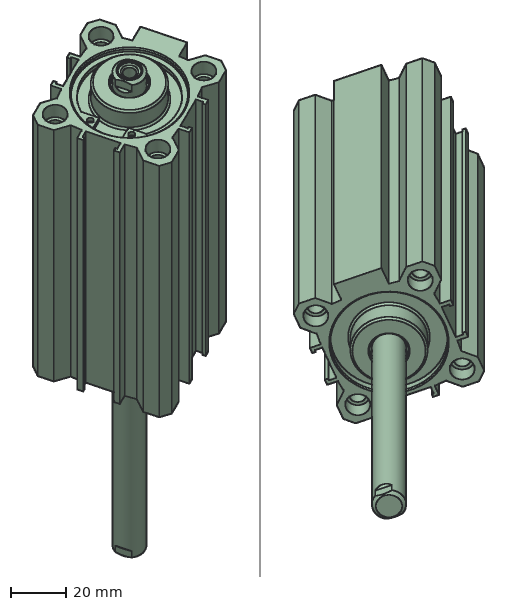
import cadquery as cq
import math

HOUSING_HEIGHT = 139.7
ROD_TOP_REACH = 12.5
ROD_BOTTOM_REACH = 112.5

LUG_REACH = 27.5
LUG_CHAMFER = 3.5
LUG_INNER = 17.7
WALL_HALF = 23.3
WALL_DROP = 0.4
PORT_HALF_WIDTH = 9.3
PORT_REACH = 30.5

RAIL_OUTER = 8.5
RAIL_STEM = 1.5
RAIL_LIP_WIDTH = 2.5
RAIL_LIP_THICKNESS = 1.3

HOLE_OFFSET = 20.4
HOLE_DIAMETER = 6.3
COUNTERBORE_DIAMETER = 9.0
COUNTERBORE_DEPTH = 7.0

BORE_DIAMETER = 40.0
SEAT_DIAMETER = 42.3
SEAT_CHAMFER = 0.5
COLLAR_RECESS = 3.7
COLLAR_FLANGE = 16.0
BOSS_DIAMETER = 28.0
BOSS_REACH = 5.8
BOSS_CHAMFER = 0.8
BOSS_FOOT = 0.8
COLLAR_MOUTH_DIAMETER = 14.0
COLLAR_MOUTH_DEPTH = 2.0
COLLAR_MOUTH_CHAMFER = 0.5

GROOVE_DIAMETER = 44.7
RING_THICKNESS = 1.9
RING_INNER_DIAMETER = 38.0
EAR_INNER = 5.8
EAR_OUTER = 13.2
EAR_TOP = -14.0
EAR_HOLE_X = 8.2
EAR_HOLE_Y = -16.5
EAR_HOLE_DIAMETER = 2.5

ROD_DIAMETER = 12.5
ROD_END_DIAMETER = 9.5
ROD_CHAMFER_HEIGHT = 1.0
FLAT_HALF = 5.3
FLAT_LENGTH = 5.5
ROD_RECESS_DIAMETER = 8.5
ROD_RECESS_DEPTH = 0.8
ROD_HOLE_DIAMETER = 5.0
ROD_HOLE_MOUTH = 6.3
ROD_HOLE_DEPTH = 10.5
DRILL_TIP_ANGLE = 118.0

ROD_TOP = HOUSING_HEIGHT + ROD_TOP_REACH
ROD_BOTTOM = -ROD_BOTTOM_REACH
MID_Z = HOUSING_HEIGHT / 2
COLLAR_FACE = HOUSING_HEIGHT - COLLAR_RECESS
COLLAR_BASE = COLLAR_FACE - COLLAR_FLANGE
CORE_HALF = WALL_HALF - WALL_DROP
LUG_ROOT = LUG_INNER - (LUG_REACH - CORE_HALF)


def cylinder(diameter, z_low, z_high):
    return cq.Workplane("XY").workplane(offset=z_low).circle(diameter / 2).extrude(z_high - z_low)


def box(x_low, x_high, y_low, y_high, z_low, z_high):
    size = (x_high - x_low, y_high - y_low, z_high - z_low)
    return cq.Workplane("XY").box(*size, centered=False).translate((x_low, y_low, z_low))


def revolved(half_section):
    """Solid of revolution about Z from (radius, z) points."""
    return cq.Workplane("XZ").polyline(half_section).close().revolve(360, (0, 0), (0, 1))


def turned(body, angle):
    return body.rotate((0, 0, 0), (0, 0, 1), angle)


def mirrored_end(body):
    """Copy of a body at the upper end, turned over to the lower end of the housing."""
    return body.rotate((0, 0, MID_Z), (1, 0, MID_Z), 180)


def corner_lug():
    outline = [
        (LUG_REACH, LUG_INNER),
        (LUG_REACH, LUG_REACH - LUG_CHAMFER),
        (LUG_REACH - LUG_CHAMFER, LUG_REACH),
        (LUG_INNER, LUG_REACH),
        (LUG_ROOT, CORE_HALF),
        (CORE_HALF, LUG_ROOT),
    ]
    return cq.Workplane("XY").polyline(outline).close().extrude(HOUSING_HEIGHT)


def wall_panel():
    """Thickening of the -Y wall: flat between the rails, sloping down to the valleys."""
    outline = [
        (-LUG_ROOT, -CORE_HALF),
        (-RAIL_OUTER, -WALL_HALF),
        (RAIL_OUTER, -WALL_HALF),
        (LUG_ROOT, -CORE_HALF),
    ]
    return cq.Workplane("XY").polyline(outline).close().extrude(HOUSING_HEIGHT)


def rail_pair():
    """Two hooks on the -Y wall with their lips facing each other."""
    stem_inner = RAIL_OUTER - RAIL_STEM
    lip_inner = RAIL_OUTER - RAIL_LIP_WIDTH
    lip_root = LUG_REACH - RAIL_LIP_THICKNESS
    outline = [
        (RAIL_OUTER, -CORE_HALF),
        (RAIL_OUTER, -LUG_REACH),
        (lip_inner, -LUG_REACH),
        (lip_inner, -lip_root),
        (stem_inner, -lip_root),
        (stem_inner, -CORE_HALF),
    ]
    hook = cq.Workplane("XY").polyline(outline).close().extrude(HOUSING_HEIGHT)
    return hook.union(hook.mirror("YZ"))


def collar_seat():
    """Upper counterbore for the collar, with a chamfered mouth."""
    seat_radius = SEAT_DIAMETER / 2
    return revolved([
        (0, COLLAR_BASE),
        (seat_radius, COLLAR_BASE),
        (seat_radius, HOUSING_HEIGHT - SEAT_CHAMFER),
        (seat_radius + SEAT_CHAMFER, HOUSING_HEIGHT),
        (0, HOUSING_HEIGHT),
    ])


def make_housing():
    body = box(-CORE_HALF, CORE_HALF, -CORE_HALF, CORE_HALF, 0, HOUSING_HEIGHT)
    for angle in (0, 90, 180, 270):
        body = body.union(turned(corner_lug(), angle)).union(turned(wall_panel(), angle))
    body = body.union(box(-PORT_HALF_WIDTH, PORT_HALF_WIDTH, 0, PORT_REACH, 0, HOUSING_HEIGHT))
    for angle in (-90, 0, 90):
        body = body.union(turned(rail_pair(), angle))

    body = body.cut(cylinder(BORE_DIAMETER, 0, HOUSING_HEIGHT))
    seat = collar_seat()
    body = body.cut(seat).cut(mirrored_end(seat))
    body = body.cut(cylinder(GROOVE_DIAMETER, COLLAR_FACE, COLLAR_FACE + RING_THICKNESS))

    corners = [(x, y) for x in (-HOLE_OFFSET, HOLE_OFFSET) for y in (-HOLE_OFFSET, HOLE_OFFSET)]
    counterbore = cylinder(COUNTERBORE_DIAMETER, HOUSING_HEIGHT - COUNTERBORE_DEPTH, HOUSING_HEIGHT)
    drill = cylinder(HOLE_DIAMETER, 0, HOUSING_HEIGHT)
    hole = drill.union(counterbore).union(mirrored_end(counterbore))
    for x, y in corners:
        body = body.cut(hole.translate((x, y, 0)))
    return body


def make_collar():
    """Flanged rod guide at the upper end of the housing."""
    seat_radius = SEAT_DIAMETER / 2
    boss_radius = BOSS_DIAMETER / 2
    rod_radius = ROD_DIAMETER / 2
    mouth_radius = COLLAR_MOUTH_DIAMETER / 2
    boss_top = HOUSING_HEIGHT + BOSS_REACH
    return revolved([
        (rod_radius, COLLAR_BASE),
        (seat_radius, COLLAR_BASE),
        (seat_radius, COLLAR_FACE),
        (boss_radius + BOSS_FOOT, COLLAR_FACE),
        (boss_radius, COLLAR_FACE + BOSS_FOOT),
        (boss_radius, boss_top - BOSS_CHAMFER),
        (boss_radius - BOSS_CHAMFER, boss_top),
        (mouth_radius + COLLAR_MOUTH_CHAMFER, boss_top),
        (mouth_radius, boss_top - COLLAR_MOUTH_CHAMFER),
        (mouth_radius, boss_top - COLLAR_MOUTH_DEPTH),
        (rod_radius, boss_top - COLLAR_MOUTH_DEPTH),
    ])


def make_retaining_ring():
    z_low = COLLAR_FACE
    z_high = COLLAR_FACE + RING_THICKNESS
    disc = cylinder(GROOVE_DIAMETER, z_low, z_high)
    opening = cylinder(RING_INNER_DIAMETER, z_low, z_high)
    ears = box(-EAR_OUTER, EAR_OUTER, -GROOVE_DIAMETER / 2, EAR_TOP, z_low, z_high).intersect(disc)
    gap = box(-EAR_INNER, EAR_INNER, -GROOVE_DIAMETER, EAR_TOP, z_low, z_high)
    boss_clearance = cylinder(BOSS_DIAMETER + 2 * BOSS_FOOT, z_low, z_high)
    body = disc.cut(opening).union(ears).cut(gap).cut(boss_clearance)
    for x in (-EAR_HOLE_X, EAR_HOLE_X):
        body = body.cut(cylinder(EAR_HOLE_DIAMETER, z_low, z_high).translate((x, EAR_HOLE_Y, 0)))
    return body


def flat_cutter():
    """Removes one wrench flat at the lower rod end, up to a sloped shoulder."""
    rod_radius = ROD_DIAMETER / 2
    z_high = ROD_BOTTOM + FLAT_LENGTH
    outline = [
        (FLAT_HALF, ROD_BOTTOM),
        (rod_radius, ROD_BOTTOM),
        (rod_radius, z_high),
        (FLAT_HALF, z_high - (rod_radius - FLAT_HALF)),
    ]
    return cq.Workplane("YZ").polyline(outline).close().extrude(rod_radius, both=True)


def make_rod():
    rod_radius = ROD_DIAMETER / 2
    end_radius = ROD_END_DIAMETER / 2
    hole_radius = ROD_HOLE_DIAMETER / 2
    mouth_radius = ROD_HOLE_MOUTH / 2
    recess_radius = ROD_RECESS_DIAMETER / 2
    recess_floor = ROD_TOP - ROD_RECESS_DEPTH
    hole_floor = ROD_TOP - ROD_HOLE_DEPTH
    tip_depth = hole_radius / math.tan(math.radians(DRILL_TIP_ANGLE / 2))
    body = revolved([
        (0, ROD_BOTTOM),
        (end_radius, ROD_BOTTOM),
        (rod_radius, ROD_BOTTOM + ROD_CHAMFER_HEIGHT),
        (rod_radius, ROD_TOP - ROD_CHAMFER_HEIGHT),
        (end_radius, ROD_TOP),
        (recess_radius, ROD_TOP),
        (recess_radius, recess_floor),
        (mouth_radius, recess_floor),
        (hole_radius, recess_floor - (mouth_radius - hole_radius)),
        (hole_radius, hole_floor),
        (0, hole_floor - tip_depth),
    ])
    rod_middle = (ROD_TOP + ROD_BOTTOM) / 2
    for angle in (0, 180):
        lower_flat = turned(flat_cutter(), angle)
        upper_flat = lower_flat.rotate((0, 0, rod_middle), (1, 0, rod_middle), 180)
        body = body.cut(lower_flat).cut(upper_flat)
    return body


housing = make_housing()
upper_collar = make_collar()
lower_collar = mirrored_end(upper_collar)
retaining_ring = make_retaining_ring()
rod = make_rod()

result = cq.Compound.makeCompound([
    housing.val(),
    upper_collar.val(),
    lower_collar.val(),
    retaining_ring.val(),
    rod.val(),
])